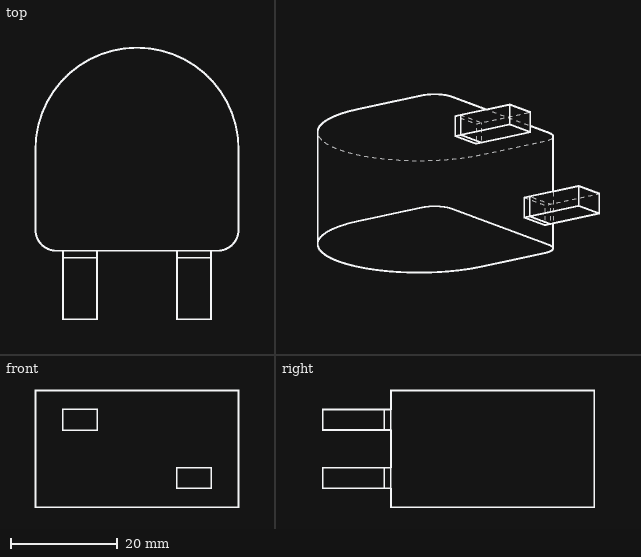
import cadquery as cq

housing_width = 38.1
housing_height = 21.9
corner_radius = 4.0
blade_width = 6.4
blade_height = 3.9
blade_spacing_x = 21.36
blade_spacing_z = 10.9
stub_length = 1.27
blade_length = 11.54

back_radius = housing_width / 2
front_y = -housing_width / 2
blade_root_y = front_y - stub_length
blade_centres = [
    (-blade_spacing_x / 2, blade_spacing_z / 2),
    (blade_spacing_x / 2, -blade_spacing_z / 2),
]


def prong_section(centre, root_y, length):
    """Rectangular bar running toward -Y from root_y, centred on (x, z)."""
    x, z = centre
    return (
        cq.Workplane("XY")
        .box(blade_width, length, blade_height)
        .translate((x, root_y - length / 2, z))
    )


def make_housing():
    """D-shaped block with rounded front corners and a short stub behind each blade."""
    body = (
        cq.Workplane("XY")
        .workplane(offset=-housing_height / 2)
        .moveTo(-back_radius, front_y)
        .lineTo(back_radius, front_y)
        .lineTo(back_radius, 0)
        .threePointArc((0, back_radius), (-back_radius, 0))
        .close()
        .extrude(housing_height)
    )
    body = body.edges("|Z and <Y").fillet(corner_radius)
    for centre in blade_centres:
        body = body.union(prong_section(centre, front_y, stub_length))
    return body


def make_blade(centre):
    """Terminal blade butted flush against the end of its housing stub."""
    return prong_section(centre, blade_root_y, blade_length)


housing = make_housing()
blades = [make_blade(centre) for centre in blade_centres]

result = cq.Compound.makeCompound([housing.val(), *[blade.val() for blade in blades]])